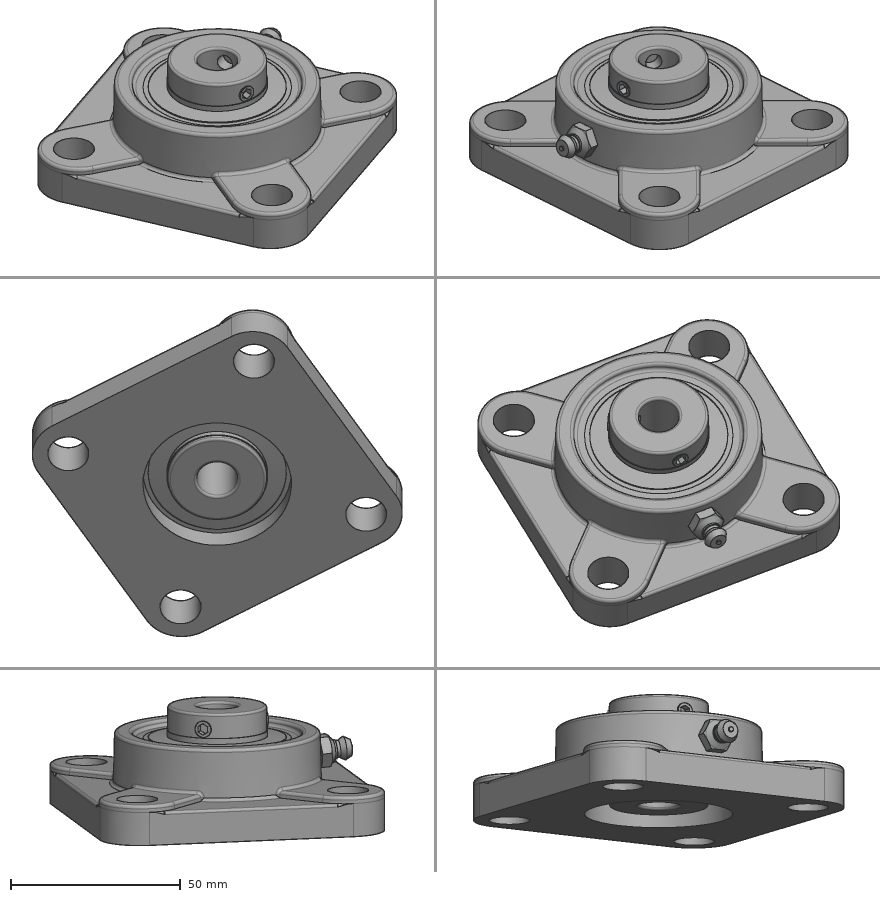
import cadquery as cq
import math


FLANGE_SIDE = 86.0
CORNER_RADIUS = 12.0
WEB_TOP = 10.0
PAD_TOP = 12.0
BOLT_HOLE_DIAMETER = 12.0
BOLT_OFFSET = 32.0
EDGE_RADIUS = 1.0
DRAFT_ANGLE = 1.5
WEB_EDGE_RADIUS = 0.9
CORNER_OFFSET = FLANGE_SIDE / 2 - CORNER_RADIUS

BOSS_TOP = 25.5
BOSS_TOP_RADIUS = 30.4
RECESS_RADIUS = 50.1 / 2
RECESS_DEPTH = 2 * EDGE_RADIUS

UNIT_HEIGHT = 33.3
BEARING_CENTRE = 15.0
RING_FACE = BOSS_TOP - RECESS_DEPTH
RING_HALF_WIDTH = RING_FACE - BEARING_CENTRE
OUTER_SPHERE_RADIUS = 23.5
OUTER_RING_BORE_RADIUS = 40.0 / 2
INNER_RING_RADIUS = 29.2 / 2
INNER_RING_BOTTOM = 2.3
SHAFT_BORE_RADIUS = 12.0 / 2
INNER_RING_ROUNDING = 0.8

SHIELD_RADIUS = 40.8 / 2
SHIELD_COLLAR_RADIUS = 29.75 / 2
SHIELD_COLLAR_TOP = 25.9
SHIELD_INNER_TOP = 24.2
SHIELD_RIM_TOP = 23.8
SHIELD_SEAT = 22.6

SCREW_HEIGHT = 28.55
SCREW_ANGLES = (-30, 90)
SCREW_DIAMETER = 4.9
SCREW_OUTER_END = 15.0
SCREW_INNER_END = 10.0
SOCKET_FLATS = 2.9
SOCKET_DEPTH = 2.6

NIPPLE_TILT = 4.5
NIPPLE_AXIS_HEIGHT = 15.7
STEM_START = 27.1
STEM_RADIUS = 6.0 / 2
HEX_START = 30.9
HEX_END = 34.0
HEX_FLATS = 9.0
HEX_CHAMFER = 0.35
NECK_START = 35.35
NECK_END = 37.0
NECK_COLLAR_END = 35.95
NECK_RADIUS = 2.6
NECK_COLLAR_RADIUS = 2.9
HEAD_WIDEST = 38.6
HEAD_RADIUS = 3.5
HEAD_END = 40.5
HEAD_END_RADIUS = 5.1 / 2
TIP_END = 41.0
TIP_RADIUS = 1.5 / 2


def across_corners(flats):
    """Corner-to-corner size of a hexagon from its size across flats."""
    return flats / math.cos(math.pi / 6)


def boss_radius(height):
    """Radius of the tapered boss wall at a height."""
    return BOSS_TOP_RADIUS + (BOSS_TOP - height) * math.tan(math.radians(DRAFT_ANGLE))


def cylinder(radius, bottom, top):
    return cq.Workplane("XY").workplane(offset=bottom).circle(radius).extrude(top - bottom)


def revolved(points):
    """Solid of revolution about Z from (radius, height) points."""
    return cq.Workplane("XZ").polyline(points).close().revolve(360, (0, 0), (0, 1))


def bolt_pads():
    """Drafted round-ended arms on the web along both diagonals, with rounded top edges."""
    length = 2 * math.hypot(CORNER_OFFSET, CORNER_OFFSET) + 2 * CORNER_RADIUS
    arm = (
        cq.Workplane("XY", origin=(0, 0, WEB_TOP))
        .slot2D(length, 2 * CORNER_RADIUS, 45)
        .extrude(PAD_TOP - WEB_TOP, taper=DRAFT_ANGLE)
    )
    arm = arm.faces(">Z").edges().fillet(EDGE_RADIUS)
    return arm.union(arm.rotate((0, 0, 0), (0, 0, 1), 90))


def boss():
    wall = revolved([
        (0, 0),
        (boss_radius(0), 0),
        (boss_radius(BOSS_TOP), BOSS_TOP),
        (0, BOSS_TOP),
    ])
    return wall.faces(">Z").edges().fillet(EDGE_RADIUS)


def web_edge_cutter():
    """Rounding of the straight +Y edge of the web, running out along the two pads beside it."""
    inner = FLANGE_SIDE / 2 - WEB_EDGE_RADIUS
    runout = math.sqrt(CORNER_RADIUS ** 2 - (CORNER_RADIUS - WEB_EDGE_RADIUS) ** 2)
    half_length = CORNER_OFFSET - runout
    bar = cq.Workplane("XY").box(
        2 * half_length, 2 * WEB_EDGE_RADIUS, 2 * WEB_EDGE_RADIUS
    ).translate((0, FLANGE_SIDE / 2, WEB_TOP))
    core = cq.Workplane("YZ").center(inner, WEB_TOP - WEB_EDGE_RADIUS).circle(WEB_EDGE_RADIUS)
    cutter = bar.cut(core.extrude(half_length, both=True))

    runout_angle = math.degrees(math.asin(runout / CORNER_RADIUS))
    cone = (
        cq.Workplane("YZ")
        .polyline([
            (CORNER_RADIUS, WEB_TOP),
            (CORNER_RADIUS + WEB_EDGE_RADIUS, WEB_TOP - WEB_EDGE_RADIUS),
            (CORNER_RADIUS + WEB_EDGE_RADIUS, WEB_TOP),
        ])
        .close()
        .revolve(runout_angle, (0, 0), (0, 1))
        .translate((CORNER_OFFSET, CORNER_OFFSET, 0))
    )
    return cutter.union(cone).union(cone.mirror("YZ"))


def flange_web():
    web = cq.Workplane("XY").rect(FLANGE_SIDE, FLANGE_SIDE).extrude(WEB_TOP)
    web = web.edges("|Z").fillet(CORNER_RADIUS)
    for side in range(4):
        web = web.cut(web_edge_cutter().rotate((0, 0, 0), (0, 0, 1), 90 * side))
    return web


def is_boss_foot(edge):
    """True for the edges where the boss wall stands on the web and the pads."""
    middle = edge.positionAt(0.5)
    wall_gap = abs(math.hypot(middle.x, middle.y) - boss_radius(middle.z))
    tolerance = 0.1
    return wall_gap < tolerance and WEB_TOP / 2 < middle.z < PAD_TOP + EDGE_RADIUS


def housing_casting():
    """Flange and boss before machining, with a rounding all along the foot of the boss."""
    casting = flange_web().union(bolt_pads()).union(boss()).val()
    foot = [edge for edge in casting.Edges() if is_boss_foot(edge)]
    return cq.Workplane(casting.fillet(EDGE_RADIUS, foot))


def bearing_recess():
    """Recess in the boss top, with a rounded mouth and a rounded floor corner."""
    return (
        cq.Workplane("XZ")
        .moveTo(0, RING_FACE)
        .lineTo(RECESS_RADIUS - EDGE_RADIUS, RING_FACE)
        .radiusArc((RECESS_RADIUS, RING_FACE + EDGE_RADIUS), -EDGE_RADIUS)
        .radiusArc((RECESS_RADIUS + EDGE_RADIUS, BOSS_TOP), EDGE_RADIUS)
        .lineTo(0, BOSS_TOP)
        .close()
        .revolve(360, (0, 0), (0, 1))
    )


def bearing_envelope():
    """Sphere cut flat at both faces of the outer ring."""
    ball = cq.Workplane("XY").sphere(OUTER_SPHERE_RADIUS).translate((0, 0, BEARING_CENTRE))
    return ball.intersect(
        cylinder(OUTER_SPHERE_RADIUS, BEARING_CENTRE - RING_HALF_WIDTH, RING_FACE)
    )


def make_housing():
    bolt_holes = (
        cq.Workplane("XY")
        .rect(2 * BOLT_OFFSET, 2 * BOLT_OFFSET, forConstruction=True)
        .vertices()
        .circle(BOLT_HOLE_DIAMETER / 2)
        .extrude(PAD_TOP)
    )
    face_radius = math.sqrt(OUTER_SPHERE_RADIUS ** 2 - RING_HALF_WIDTH ** 2)
    return (
        housing_casting()
        .cut(bolt_holes)
        .cut(bearing_recess())
        .cut(bearing_envelope())
        .cut(cylinder(face_radius, 0, BEARING_CENTRE - RING_HALF_WIDTH))
        .cut(make_nipple())
    )


def make_shield():
    """Upper shield: a slightly conical disc with a collar around the inner ring."""
    return revolved([
        (INNER_RING_RADIUS, SHIELD_SEAT),
        (SHIELD_RADIUS, SHIELD_SEAT),
        (SHIELD_RADIUS, SHIELD_RIM_TOP),
        (SHIELD_COLLAR_RADIUS, SHIELD_INNER_TOP),
        (SHIELD_COLLAR_RADIUS, SHIELD_COLLAR_TOP),
        (INNER_RING_RADIUS, SHIELD_COLLAR_TOP),
    ])


def make_shields():
    """The upper shield and its mirror image below the bearing centre."""
    upper = make_shield()
    return [upper, upper.mirror("XY", (0, 0, BEARING_CENTRE))]


def make_outer_ring():
    ring = bearing_envelope().cut(cylinder(OUTER_RING_BORE_RADIUS, 0, UNIT_HEIGHT))
    seat = cylinder(SHIELD_RADIUS, SHIELD_SEAT, UNIT_HEIGHT)
    return ring.cut(seat).cut(seat.mirror("XY", (0, 0, BEARING_CENTRE)))


def screw_shape(start, end):
    """Cylinder along a set screw axis, which points along +X before it is turned in place."""
    return (
        cq.Workplane("YZ", origin=(start, 0, SCREW_HEIGHT))
        .circle(SCREW_DIAMETER / 2)
        .extrude(end - start)
    )


def turn_to(shape, angle):
    return shape.rotate((0, 0, 0), (0, 0, 1), angle)


def make_inner_ring():
    ring = cylinder(INNER_RING_RADIUS, INNER_RING_BOTTOM, UNIT_HEIGHT)
    ring = ring.cut(cylinder(SHAFT_BORE_RADIUS, 0, UNIT_HEIGHT))
    ring = ring.faces("<Z or >Z").edges().fillet(INNER_RING_ROUNDING)
    for angle in SCREW_ANGLES:
        ring = ring.cut(turn_to(screw_shape(0, SCREW_OUTER_END), angle))
    return ring


def make_set_screw(angle):
    """Set screw with a hexagon socket in its outer end, corners up and down."""
    screw = screw_shape(SCREW_INNER_END, SCREW_OUTER_END)
    socket = (
        cq.Workplane("YZ", origin=(SCREW_OUTER_END - SOCKET_DEPTH, 0, SCREW_HEIGHT))
        .transformed(rotate=(0, 0, 90))
        .polygon(6, across_corners(SOCKET_FLATS))
        .extrude(SOCKET_DEPTH)
    )
    return turn_to(screw.cut(socket), angle)


def make_nipple():
    """Grease nipple, turned about Z and then laid along its tilted axis."""
    turned = revolved([
        (0, STEM_START),
        (STEM_RADIUS, STEM_START),
        (STEM_RADIUS, HEX_START),
        (HEX_FLATS / 2, HEX_START),
        (HEX_FLATS / 2, HEX_END),
        (NECK_COLLAR_RADIUS, NECK_START),
        (NECK_COLLAR_RADIUS, NECK_COLLAR_END),
        (NECK_RADIUS, NECK_COLLAR_END),
        (NECK_RADIUS, NECK_END),
        (HEAD_RADIUS, HEAD_WIDEST),
        (HEAD_END_RADIUS, HEAD_END),
        (TIP_RADIUS, HEAD_END),
        (TIP_RADIUS, TIP_END),
        (0, TIP_END),
    ])
    hex_corners = across_corners(HEX_FLATS)
    hexagon = (
        cq.Workplane("XY")
        .workplane(offset=HEX_START)
        .polygon(6, hex_corners)
        .extrude(HEX_END - HEX_START)
    )
    hexagon = hexagon.intersect(revolved([
        (0, HEX_START),
        (hex_corners / 2, HEX_START),
        (hex_corners / 2, HEX_END - HEX_CHAMFER),
        (HEX_FLATS / 2, HEX_END),
        (0, HEX_END),
    ]))
    return (
        turned.union(hexagon)
        .rotate((0, 0, 0), (1, 0, 0), NIPPLE_TILT - 90)
        .translate((0, 0, NIPPLE_AXIS_HEIGHT))
    )


housing = make_housing()
outer_ring = make_outer_ring()
inner_ring = make_inner_ring()
shields = make_shields()
set_screws = [make_set_screw(angle) for angle in SCREW_ANGLES]
nipple = make_nipple()

result = cq.Compound.makeCompound([
    housing.val(),
    outer_ring.val(),
    inner_ring.val(),
    *[shield.val() for shield in shields],
    *[screw.val() for screw in set_screws],
    nipple.val(),
])